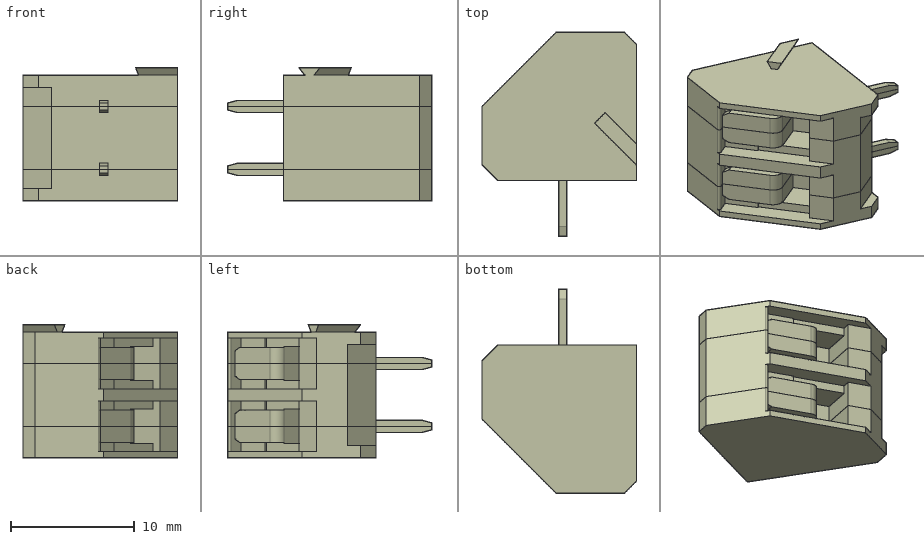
import cadquery as cq
import math


width = 12.5
depth = 12.0
height = 10.16
slope_size = 6.0
back_chamfer = 0.99
front_chamfer = 1.27

notch_size = 2.31
notch_margin = 1.0

key_height = 10.75 - height
key_width = 1.2
key_undercut = 0.33
key_end_x = 9.54
key_end_y = 5.07
key_length = 6.6

pole_count = 2
pole_pitch = height / pole_count
pole_heights = [(i + 0.5) * pole_pitch for i in range(pole_count)]

pocket_width = 4.1
lip_depth = 0.84
lip_end = 1.17
well_depth = 1.65
well_end = 5.73
shelf_depth = 1.52
pocket_end = slope_size * math.sqrt(2)
rim_radius = 0.16

lever_width = 2.62
lever_start = 3.68
lever_height = well_depth - lip_depth
lever_corner_length = 0.53
lever_corner_width = 0.28

wire_hole_width = 2.77
wire_hole_depth = 2.97

pin_x = 6.53
pin_width = 0.68
pin_height = 1.0
pin_length = 4.5
pin_tip_length = 0.8
pin_tip_height = 0.58


def slope_plane(z):
    """Plane with local x up the slope, local y out of the slope and its origin at the slope's foot."""
    return cq.Workplane(cq.Plane(origin=(0, depth - slope_size, z), xDir=(1, 1, 0), normal=(0, 0, 1)))


def outline_block():
    return (
        cq.Workplane("XY")
        .moveTo(front_chamfer, 0)
        .lineTo(width, 0)
        .lineTo(width, depth - back_chamfer)
        .lineTo(width - back_chamfer, depth)
        .lineTo(slope_size, depth)
        .lineTo(0, depth - slope_size)
        .lineTo(0, front_chamfer)
        .close()
        .extrude(height)
    )


def chamfer_notch():
    return (
        cq.Workplane("XY", origin=(0, 0, notch_margin))
        .polyline([(0, 0), (notch_size, 0), (0, notch_size)])
        .close()
        .extrude(height - 2 * notch_margin)
    )


def dovetail_key():
    """Trapezoid swept along the key's axis, trimmed flush with the right side."""
    foot = key_width / 2 - key_undercut
    profile_plane = cq.Plane(origin=(key_end_x, key_end_y, height), xDir=(1, 1, 0), normal=(1, -1, 0))
    bar = (
        cq.Workplane(profile_plane)
        .polyline([
            (-foot, 0),
            (foot, 0),
            (key_width / 2, key_height),
            (-key_width / 2, key_height),
        ])
        .close()
        .extrude(key_length)
    )
    envelope = cq.Workplane("XY", origin=(0, 0, height)).rect(width, depth, centered=False).extrude(key_height)
    return bar.intersect(envelope)


def entry_pocket(z):
    """Stepped recess that opens onto the left side, the slope and the back face."""
    wedge_half_angle = math.radians(22.5)
    tangent_length = rim_radius / math.tan(wedge_half_angle)
    arc_offset = rim_radius / math.sin(wedge_half_angle) - rim_radius
    arc_middle = (
        pocket_end + arc_offset * math.sin(wedge_half_angle),
        -arc_offset * math.cos(wedge_half_angle),
    )
    back_reach = tangent_length / math.sqrt(2)
    return (
        slope_plane(z)
        .moveTo(-lip_depth, 0)
        .lineTo(-lip_depth, -lip_depth)
        .lineTo(lip_end, -lip_depth)
        .lineTo(lip_end, -well_depth)
        .lineTo(well_end, -well_depth)
        .lineTo(well_end, -shelf_depth)
        .lineTo(pocket_end, -shelf_depth)
        .lineTo(pocket_end, -tangent_length)
        .threePointArc(arc_middle, (pocket_end + back_reach, -back_reach))
        .lineTo(pocket_end + back_reach, 0)
        .close()
        .extrude(pocket_width / 2, both=True)
    )


def wire_hole(z):
    return (
        slope_plane(z)
        .moveTo(lip_end, -well_depth)
        .lineTo(lever_start, -well_depth)
        .lineTo(lever_start, -well_depth - wire_hole_depth)
        .lineTo(lip_end, -well_depth - wire_hole_depth)
        .close()
        .extrude(wire_hole_width / 2, both=True)
    )


def lever(z):
    """Flat tongue with a quarter-round nose and two cut corners at the end wall."""
    nose_middle = lever_height * (1 - math.sqrt(0.5))
    side_profile = (
        slope_plane(z)
        .moveTo(lever_start, -well_depth)
        .lineTo(pocket_end, -well_depth)
        .lineTo(pocket_end, -lip_depth)
        .lineTo(lever_start + lever_height, -lip_depth)
        .threePointArc((lever_start + nose_middle, -lip_depth - nose_middle), (lever_start, -well_depth))
        .close()
        .extrude(lever_width / 2, both=True)
    )
    return (
        side_profile
        .faces(cq.selectors.DirectionMinMaxSelector(cq.Vector(1, 1, 0)))
        .edges(cq.selectors.ParallelDirSelector(cq.Vector(-1, 1, 0)))
        .chamfer(lever_corner_width, lever_corner_length)
    )


def solder_pin(z):
    """Flat pin standing on the front face, its tip narrowed above and below."""
    shank_end = -(pin_length - pin_tip_length)
    return (
        cq.Workplane("YZ", origin=(pin_x, 0, z))
        .polyline([
            (0, -pin_height / 2),
            (0, pin_height / 2),
            (shank_end, pin_height / 2),
            (-pin_length, pin_tip_height / 2),
            (-pin_length, -pin_tip_height / 2),
            (shank_end, -pin_height / 2),
        ])
        .close()
        .extrude(pin_width / 2, both=True)
    )


def complete_block():
    block = outline_block().cut(chamfer_notch()).union(dovetail_key())
    for z in pole_heights:
        block = block.cut(entry_pocket(z)).cut(wire_hole(z)).union(lever(z)).union(solder_pin(z))
    return block


def section(block, bottom, top):
    """The part of the block between two heights."""
    slab = (
        cq.Workplane("XY", origin=(0, -pin_length, bottom))
        .rect(width, pin_length + depth, centered=False)
        .extrude(top - bottom)
    )
    return block.intersect(slab).solids()


block = complete_block()
first_joint = pole_heights[0]
last_joint = pole_heights[-1]

lower_end_section = section(block, 0, first_joint).val()
middle_sections = [section(block, z, z + pole_pitch).val() for z in pole_heights[:-1]]
upper_end_section = section(block, last_joint, height + key_height).val()

result = cq.Compound.makeCompound([lower_end_section, *middle_sections, upper_end_section])